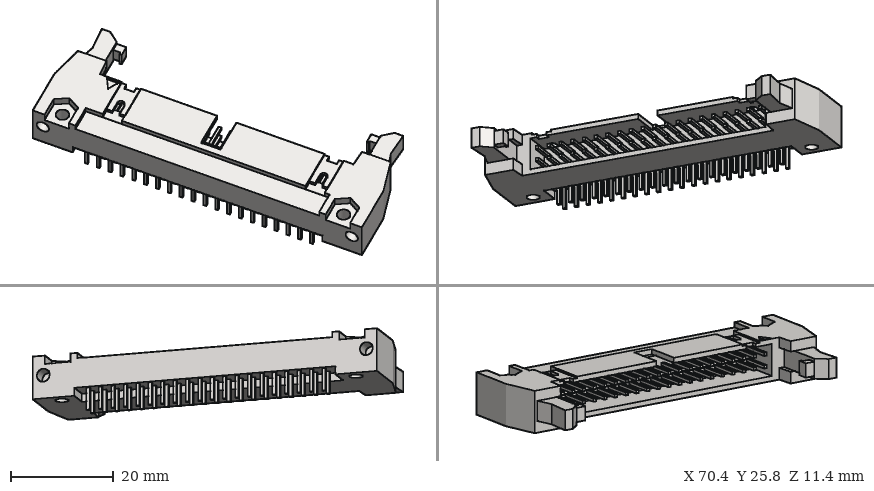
import cadquery as cq


length = 70.4
height = 8.6
tower_depth = 17.25
corner_y = 10.0
tower_outer_x = 33.45
tower_inner_x = 27.3
tower_root_x = 27.1
housing_depth = 13.7

ledge_half_length = 26.05
ledge_depth = 4.85
ledge_drop = 1.05

cavity_half_length = 25.35
cavity_floor_y = 7.45
wall = 1.05

relief_half_length = 26.7
relief_height = 1.6
relief_depth = ledge_depth

pin_columns = 20
pin_pitch = 2.5
pin_width = 0.6
pin_drop = 2.8
front_row_y = 1.0
contact_end_y = 13.4

key_width = 4.15
key_front_y = 6.3

left_channel_x = -20.4
right_channel_x = -left_channel_x + pin_pitch
channel_width = 4.1
channel_drop = 0.35
channel_step_y = 6.55
channel_step_drop = 1.0
window_width = 1.55
window_rear_y = 9.65
notch_width = 2.1
notch_depth = 1.05

hole_diameter = 2.6
mount_x = 30.05
mount_y = 2.7
pocket_width = 5.2
pocket_shoulder_y = 4.3
pocket_apex_y = 5.8
pocket_drop = 1.7

front_hole_x = 33.0
front_hole_drop = 3.95
front_hole_depth = 3.5

mark_x = 24.15
mark_width = 2.6
mark_rear_y = 13.4
mark_tip_y = 11.05
mark_drop = 0.35

latch_thickness = 4.1
latch_drop = 2.1
latch_top = height - latch_drop
latch_bottom = latch_top - latch_thickness
latch_end_y = 25.8
latch_inner_x = 28.2
latch_root_x = 32.9
latch_waist_x = 31.9
latch_waist_y = 20.7
latch_tip_x = 32.25
latch_bevel_x = 30.4
hook_tip_x = 26.2
hook_front_y = 22.3
hook_rear_y = 24.0
hook_height = 2.9
lip_width = 0.5
lip_front_y = 21.8


def box(x_range, y_range, z_range):
    """Box between the given limits along each axis."""
    (x0, x1), (y0, y1), (z0, z1) = x_range, y_range, z_range
    return cq.Workplane("XY").box(x1 - x0, y1 - y0, z1 - z0, centered=False).translate((x0, y0, z0))


def prism(points, bottom, top):
    """Upright prism over an outline in X and Y."""
    return cq.Workplane("XY").workplane(offset=bottom).polyline(points).close().extrude(top - bottom)


def both_ends(shape):
    """The shape at the +X end together with its mirror image at the -X end."""
    return shape.union(shape.mirror("YZ"))


def make_body():
    right = [
        (length / 2, 0),
        (length / 2, corner_y),
        (tower_outer_x, tower_depth),
        (tower_inner_x, tower_depth),
        (tower_root_x, housing_depth),
    ]
    left = [(-x, y) for x, y in reversed(right)]
    return prism(right + left, 0, height)


def make_ledge():
    return box((-ledge_half_length, ledge_half_length), (0, ledge_depth), (height - ledge_drop, height))


def make_cavity():
    x_range = (-cavity_half_length, cavity_half_length)
    return box(x_range, (cavity_floor_y, housing_depth), (wall, height - wall))


def make_relief():
    return box((-relief_half_length, relief_half_length), (0, relief_depth), (0, relief_height))


def make_key_slot():
    return box((-key_width / 2, key_width / 2), (key_front_y, housing_depth), (height - wall, height))


def make_channel(channel_x):
    """Stepped channel with a round-ended window and a rear notch through the wall."""
    x_range = (channel_x - channel_width / 2, channel_x + channel_width / 2)
    window_radius = window_width / 2
    window_x = (channel_x - window_radius, channel_x + window_radius)
    notch_x = (channel_x - notch_width / 2, channel_x + notch_width / 2)
    window_center_y = window_rear_y - window_radius
    wall_bottom = height - wall

    channel = box(x_range, (ledge_depth, housing_depth), (height - channel_drop, height))
    step = box(x_range, (ledge_depth, channel_step_y), (height - channel_step_drop, height))
    tongue = box(window_x, (channel_step_y, cavity_floor_y), (height - channel_step_drop, height))
    window = box(window_x, (cavity_floor_y, window_center_y), (wall_bottom, height))
    window_end = (
        cq.Workplane("XY")
        .workplane(offset=wall_bottom)
        .center(channel_x, window_center_y)
        .circle(window_radius)
        .extrude(wall)
    )
    notch = box(notch_x, (housing_depth - notch_depth, housing_depth), (wall_bottom, height))
    return channel.union(step).union(tongue).union(window).union(window_end).union(notch)


def make_mount():
    """Through hole with a pointed nut pocket open to the front."""
    inner_x = mount_x - pocket_width / 2
    outer_x = mount_x + pocket_width / 2
    outline = [
        (inner_x, 0),
        (outer_x, 0),
        (outer_x, pocket_shoulder_y),
        (mount_x, pocket_apex_y),
        (inner_x, pocket_shoulder_y),
    ]
    hole = cq.Workplane("XY").center(mount_x, mount_y).circle(hole_diameter / 2).extrude(height)
    return prism(outline, height - pocket_drop, height).union(hole)


def make_front_hole():
    return (
        cq.Workplane("XZ")
        .center(front_hole_x, height - front_hole_drop)
        .circle(hole_diameter / 2)
        .extrude(-front_hole_depth)
    )


def make_pin_mark():
    outline = [
        (-mark_x - mark_width / 2, mark_rear_y),
        (-mark_x + mark_width / 2, mark_rear_y),
        (-mark_x, mark_tip_y),
    ]
    return prism(outline, height - mark_drop, height)


def make_latch_window():
    """Opening in the inner face of the end tower, down to the inner face of the latch."""
    return box((tower_root_x, latch_inner_x), (housing_depth, tower_depth), (latch_bottom, latch_top))


def make_latch():
    """Latch arm rooted in the end tower, with a lipped hook facing inwards."""
    arm = prism(
        [
            (latch_inner_x, tower_depth),
            (latch_root_x, tower_depth),
            (latch_waist_x, latch_waist_y),
            (latch_tip_x, latch_end_y),
            (latch_bevel_x, latch_end_y),
            (latch_inner_x, hook_rear_y),
        ],
        latch_bottom,
        latch_top,
    )
    middle = (latch_top + latch_bottom) / 2
    hook_z = (middle - hook_height / 2, middle + hook_height / 2)
    hook = box((hook_tip_x, latch_inner_x), (hook_front_y, hook_rear_y), hook_z)
    lip = box((hook_tip_x, hook_tip_x + lip_width), (lip_front_y, hook_front_y), hook_z)
    return arm.union(hook).union(lip)


def make_pin(x, row):
    """Right-angle pin: tail down through the underside, contact out into the cavity."""
    half = pin_width / 2
    tail_y = front_row_y + row * pin_pitch
    contact_z = height / 2 + (0.5 - row) * pin_pitch
    x_range = (x - half, x + half)
    tail = box(x_range, (tail_y - half, tail_y + half), (-pin_drop, contact_z + half))
    contact = box(x_range, (tail_y - half, contact_end_y), (contact_z - half, contact_z + half))
    return tail.union(contact)


def pin_places():
    """X position and row number of every pin, centred on X = 0."""
    first_x = -(pin_columns - 1) / 2 * pin_pitch
    return [(first_x + column * pin_pitch, row) for column in range(pin_columns) for row in range(2)]


result = (
    make_body()
    .cut(make_ledge())
    .cut(make_cavity())
    .cut(make_relief())
    .cut(make_key_slot())
    .cut(make_channel(left_channel_x))
    .cut(make_channel(right_channel_x))
    .cut(both_ends(make_mount()))
    .cut(both_ends(make_front_hole()))
    .cut(make_pin_mark())
    .cut(both_ends(make_latch_window()))
    .union(both_ends(make_latch()))
)

for pin_x, pin_row in pin_places():
    result = result.union(make_pin(pin_x, pin_row))